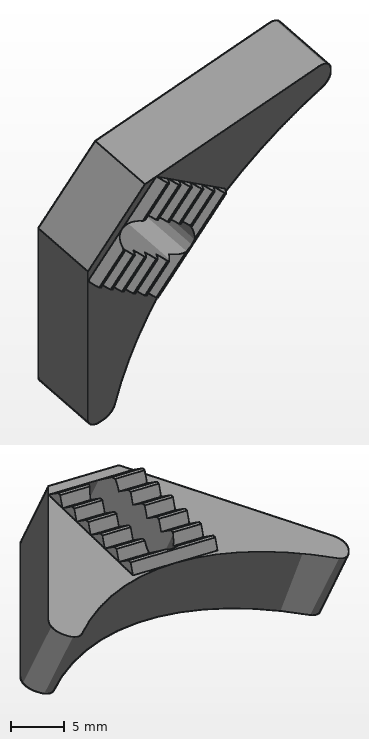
import math

import cadquery as cq


body_thickness = 7.0
leg_length = 30.13
corner_cut_depth = 5.0
arc_radius = 36.0
arc_depth = 18.0
tip_fillet = 1.5

slot_width = 4.0
slot_first_center_depth = 8.0
slot_center_distance = 7.0

ridge_count = 6
ridge_pitch = 2.0
ridge_length = 12.0
ridge_height = 0.9
ridge_crest_width = 0.3
ridges_start_depth = arc_depth - ridge_count * ridge_pitch

overlap = 1.0

diagonal = (0, 1, -1)


def make_body():
    corner_cut_leg = corner_cut_depth * math.sqrt(2)
    arc_center = (arc_depth + arc_radius) / math.sqrt(2)
    arc_middle = arc_depth / math.sqrt(2)
    tip_width = arc_center - math.sqrt(arc_radius**2 - (arc_center - leg_length) ** 2)
    body = (
        cq.Workplane("YZ")
        .moveTo(corner_cut_leg, 0)
        .lineTo(leg_length, 0)
        .lineTo(leg_length, -tip_width)
        .threePointArc((arc_middle, -arc_middle), (tip_width, -leg_length))
        .lineTo(0, -leg_length)
        .lineTo(0, -corner_cut_leg)
        .close()
        .extrude(body_thickness)
    )
    return body.edges("|X and (>Y or <Z)").fillet(tip_fillet)


def make_ridges():
    """Serration block: trapezoidal ridges side by side, parallel to the corner cut."""
    flank_width = (ridge_pitch - ridge_crest_width) / 2
    ridge_root_x = body_thickness - overlap
    crest_x = body_thickness + ridge_height
    profile_plane = cq.Plane(origin=(0, 0, 0), xDir=diagonal, normal=(0, -1, -1))
    profile = cq.Workplane(profile_plane).moveTo(ridges_start_depth, ridge_root_x)
    for index in range(ridge_count):
        start = ridges_start_depth + index * ridge_pitch
        profile = (
            profile.lineTo(start, body_thickness)
            .lineTo(start + flank_width, crest_x)
            .lineTo(start + flank_width + ridge_crest_width, crest_x)
        )
    return (
        profile.lineTo(arc_depth, body_thickness)
        .lineTo(arc_depth, ridge_root_x)
        .close()
        .extrude(ridge_length / 2, both=True)
    )


def make_slot_cutter():
    slot_center_depth = slot_first_center_depth + slot_center_distance / 2
    slot_plane = cq.Plane(origin=(-overlap, 0, 0), xDir=diagonal, normal=(1, 0, 0))
    return (
        cq.Workplane(slot_plane)
        .center(slot_center_depth, 0)
        .slot2D(slot_center_distance + slot_width, slot_width)
        .extrude(body_thickness + ridge_height + 2 * overlap)
    )


result = make_body().union(make_ridges()).cut(make_slot_cutter())